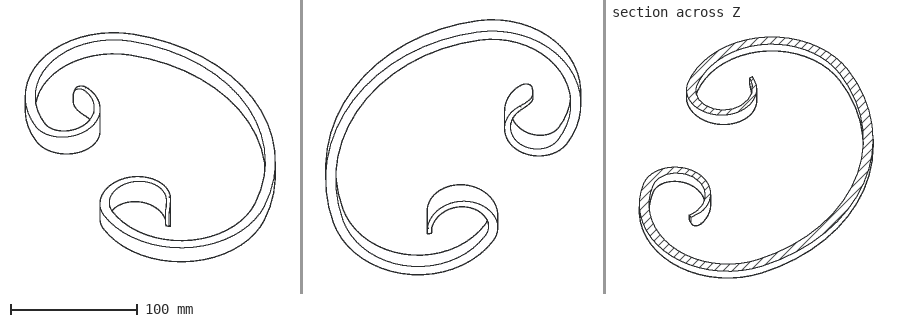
import cadquery as cq
import math

band_thickness = 8.0
band_height = 16.0
overall_depth = 165.0
back_radius = 143.0
side_radius = 70.0
side_offset = 55.0

tip_thickness = 3.0
tip_height = 30.0
tip_corner_radius = 10.0
cutter_clearance = 2.0

scroll_tight_radius = 21.3
scroll_wide_radius = 25.4
scroll_tight_turn = math.radians(52)
scroll_total_turn = math.radians(225.5)
scroll_path_spans = 8

back_centre_y = overall_depth - back_radius
side_centre_y = side_radius
joint_angle = math.atan2(side_centre_y - back_centre_y, side_offset)


def polar(centre, radius, angle):
    return (centre[0] + radius * math.cos(angle), centre[1] + radius * math.sin(angle))


def back_band():
    """Arc across the back, up to the tangent joints with the side arcs."""
    centre = (0, back_centre_y)
    inner = back_radius - band_thickness
    right = joint_angle
    left = math.pi - joint_angle
    middle = math.pi / 2
    return (
        cq.Workplane("XY", origin=(0, 0, -band_height / 2))
        .moveTo(*polar(centre, back_radius, right))
        .threePointArc(polar(centre, back_radius, middle), polar(centre, back_radius, left))
        .lineTo(*polar(centre, inner, left))
        .threePointArc(polar(centre, inner, middle), polar(centre, inner, right))
        .close()
        .extrude(band_height)
    )


def side_band():
    """Left side arc, from the back joint round to the front joint."""
    centre = (-side_offset, side_centre_y)
    inner = side_radius - band_thickness
    start = math.pi - joint_angle
    end = 1.5 * math.pi
    middle = (start + end) / 2
    return (
        cq.Workplane("XY", origin=(0, 0, -band_height / 2))
        .moveTo(*polar(centre, side_radius, start))
        .threePointArc(polar(centre, side_radius, middle), polar(centre, side_radius, end))
        .lineTo(*polar(centre, inner, end))
        .threePointArc(polar(centre, inner, middle), polar(centre, inner, start))
        .close()
        .extrude(band_height)
    )


def scroll_point(turn):
    """Point on the scroll centreline where its direction has turned by the given angle."""
    tight_centre = (-side_offset, band_thickness / 2 + scroll_tight_radius)
    if turn <= scroll_tight_turn:
        return polar(tight_centre, scroll_tight_radius, turn - math.pi / 2)
    change_angle = scroll_tight_turn - math.pi / 2
    wide_centre = polar(tight_centre, scroll_tight_radius - scroll_wide_radius, change_angle)
    return polar(wide_centre, scroll_wide_radius, turn - math.pi / 2)


def tip_corner_cutter(tip, tip_angle):
    """Prism through the upper tip corner, leaving it rounded; its profile runs back from the tip and up."""
    radial = (math.cos(tip_angle), math.sin(tip_angle), 0)
    backward = (math.sin(tip_angle), -math.cos(tip_angle), 0)
    profile_plane = cq.Plane(origin=(*tip, 0), xDir=backward, normal=radial)
    radius = tip_corner_radius
    tight_length = scroll_tight_radius * scroll_tight_turn
    wide_length = scroll_wide_radius * (scroll_total_turn - scroll_tight_turn)
    edge_slope = (tip_height - band_height) / 2 / (tight_length + wide_length)
    round_top = tip_height / 2 - edge_slope * radius
    round_centre = (radius, round_top - radius)
    round_middle = 0.75 * math.pi
    clear_top = tip_height / 2 + cutter_clearance
    return (
        cq.Workplane(profile_plane)
        .moveTo(0, round_centre[1])
        .threePointArc(polar(round_centre, radius, round_middle), (radius, round_top))
        .lineTo(radius, clear_top)
        .lineTo(-cutter_clearance, clear_top)
        .lineTo(-cutter_clearance, round_centre[1])
        .close()
        .extrude(band_thickness, both=True)
    )


def scroll():
    """Left scroll: a rectangle swept along the curl, tapering in thickness and growing in height."""
    start = scroll_point(0)
    tip = scroll_point(scroll_total_turn)
    tip_angle = scroll_total_turn - math.pi / 2
    steps = range(scroll_path_spans + 1)
    turns = [scroll_total_turn * step / scroll_path_spans for step in steps]
    tip_direction = (-math.sin(tip_angle), math.cos(tip_angle))
    path = cq.Workplane("XY").spline(
        [scroll_point(turn) for turn in turns],
        tangents=[(1, 0), tip_direction],
        scale=False,
    )
    start_plane = cq.Plane(origin=(start[0], start[1], 0), xDir=(0, 1, 0), normal=(1, 0, 0))
    tip_plane = cq.Plane(
        origin=(tip[0], tip[1], 0),
        xDir=(-math.cos(tip_angle), -math.sin(tip_angle), 0),
        normal=(*tip_direction, 0),
    )
    start_section = cq.Workplane(start_plane).rect(band_thickness, band_height)
    tip_section = cq.Workplane(tip_plane).rect(tip_thickness, tip_height)
    start_section.ctx.pendingWires.extend(tip_section.ctx.pendingWires)
    body = start_section.sweep(path, multisection=True)

    corner = tip_corner_cutter(tip, tip_angle)
    return body.cut(corner).cut(corner.mirror("XY"))


left_side = side_band().union(scroll(), clean=False)
right_side = left_side.mirror("YZ")
result = back_band().union(left_side, clean=False).union(right_side, clean=False)